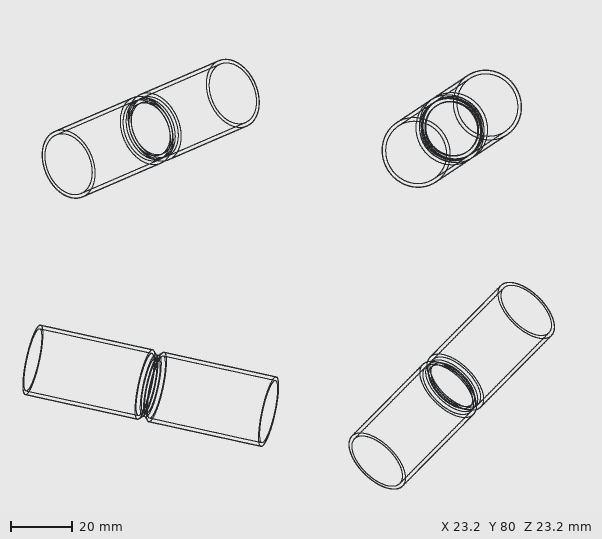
import cadquery as cq

length = 80.0
outer_diameter = 23.2
bore_diameter = 20.7

groove_diameter = 20.5
ridge_diameter = 18.0
bead_mouth_width = 3.8
bead_flat_width = bead_mouth_width - (outer_diameter - groove_diameter)

half_length = length / 2
half_mouth = bead_mouth_width / 2
half_flat = bead_flat_width / 2


def wall_edge(end_diameter, bead_diameter):
    """Points (radius, y) along one face of the wall, dipping inward at the bead."""
    end_radius = end_diameter / 2
    bead_radius = bead_diameter / 2
    return [
        (end_radius, -half_length),
        (end_radius, -half_mouth),
        (bead_radius, -half_flat),
        (bead_radius, half_flat),
        (end_radius, half_mouth),
        (end_radius, half_length),
    ]


outer_edge = wall_edge(outer_diameter, groove_diameter)
inner_edge = wall_edge(bore_diameter, ridge_diameter)
wall_section = cq.Workplane("XY").polyline(outer_edge + inner_edge[::-1]).close()
result = wall_section.revolve(360, (0, 0, 0), (0, 1, 0))